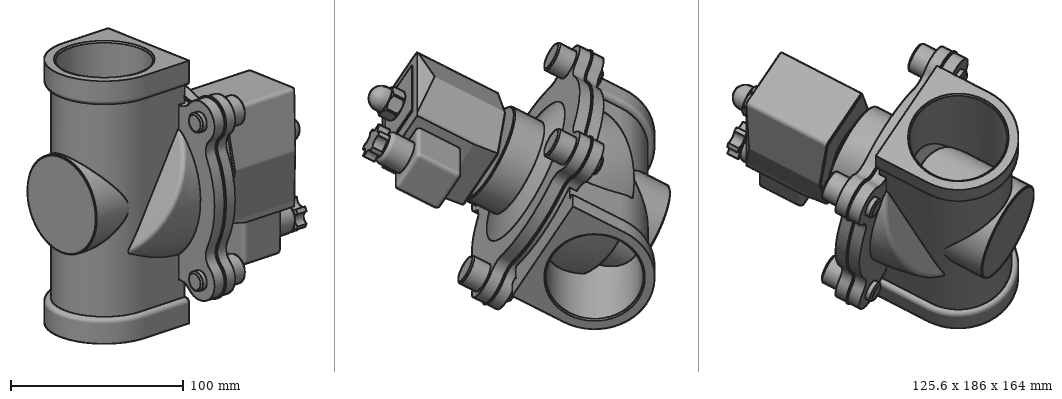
import cadquery as cq
import math


TOTAL_LENGTH = 186

BODY_LENGTH = 164.0
PIPE_RADIUS = 31.0
COLLAR_RADIUS = 35.0
COLLAR_LENGTH = 15.5
COLLAR_FILLET = 2.8
BORE_DIAMETER = 56.7
BORE_CHAMFER = 1.0

BOSS_DIAMETER = 60.0
BOSS_BACK = -33.7
BOSS_CHAMFER = 0.5

CHAMBER_RADIUS = 50.0
CHAMBER_HINGE_Y = 36.0
CHAMBER_HINGE_Z = 50.8
CHAMBER_ANGLE = 30
CHAMBER_FILLET = 2.5

FLANGE_BACK = 30.1
FLANGE_THICKNESS = 7.6
FLANGE_RADIUS = 62.1
EAR_RADIUS = 12.6
EAR_OFFSET = FLANGE_RADIUS - EAR_RADIUS
EAR_COUNT = 4
WAIST_RADIUS = 10.0
SEAL_THICKNESS = 1.0
SEAL_OVERHANG = 0.7
SEAL_BACK = FLANGE_BACK + FLANGE_THICKNESS
COVER_BACK = SEAL_BACK + SEAL_THICKNESS
COVER_TOP = COVER_BACK + FLANGE_THICKNESS

HEAD_DIAMETER = 18.0
HEAD_HEIGHT = 11.9
HEAD_CHAMFER = 1.0
SHANK_DIAMETER = 12.0
TIP_DIAMETER = 10.0
TIP_CHAMFER = (SHANK_DIAMETER - TIP_DIAMETER) / 2
TIP_PROJECTION = 4.0

CONE_RADIUS = 45.0
BONNET_DIAMETER = 60.0
BONNET_BACK = 51.3
BONNET_TOP = 71.6
BONNET_CHAMFER = 0.7
STEM_DIAMETER = 30.0

COIL_BACK = 76.3
COIL_TOP = 131.1
COIL_HALF_WIDTH = 28.5
COIL_FLAT_HALF_WIDTH = 20.0
COIL_UPPER = 35.2
COIL_LOWER = 38.7
COIL_FILLET = 3.0
COIL_CORNER_DEPTH = 6.9
COIL_EDGE_CHAMFER = 0.7
COIL_TAPER_LENGTH = 16.7
COIL_TAPER_HEIGHT = COIL_LOWER - COIL_UPPER

PLATE_WIDTH = 30.5
PLATE_HEIGHT = 51.0
PLATE_TOP = 132.0
NUT_ACROSS_FLATS = 17.0
NUT_CORNER_DIAMETER = NUT_ACROSS_FLATS / math.cos(math.pi / 6)
NUT_ROUND_DIAMETER = 19.0
NUT_CHAMFER = 1.1
NUT_TOP = 141.0
DOME_DIAMETER = 15.0
DOME_CENTER_Y = TOTAL_LENGTH - COLLAR_RADIUS - DOME_DIAMETER / 2

PLUG_WIDTH = 27.5
PLUG_BACK = 97.3
PLUG_TOP = 127.0
PLUG_BOTTOM = -69.0
PLUG_FILLET = 2.6
GLAND_Z = -53.8
GLAND_DIAMETER = 20.0
GLAND_TOP = 142.3
GLAND_FILLET = 2.8
NECK_DIAMETER = 14.9
CAP_BACK = 143.2
CAP_TOP = 150.3
CAP_DIAMETER = 20.8
FLUTE_COUNT = 6
FLUTE_DIAMETER = 8.4
FLUTE_CENTER_RADIUS = 11.3


def plane_at(y, x=0.0, z=0.0):
    """Plane across Y whose local axes are the global X and Z."""
    return cq.Workplane("XZ", origin=(x, y, z))


def cylinder(diameter, y_start, y_end, x=0.0, z=0.0):
    """Round bar along +Y."""
    return plane_at(y_start, x, z).circle(diameter / 2).extrude(y_start - y_end)


def d_block(radius, z_start, length):
    """Bar along Z, round toward -Y and flat toward +Y."""
    return (
        cq.Workplane("XY", origin=(0, 0, z_start))
        .moveTo(radius, 0)
        .lineTo(radius, COLLAR_RADIUS)
        .lineTo(-radius, COLLAR_RADIUS)
        .lineTo(-radius, 0)
        .threePointArc((0, -radius), (radius, 0))
        .close()
        .extrude(length)
    )


def polar(radius, angle):
    """Point at a distance and angle from the origin."""
    return (radius * math.cos(angle), radius * math.sin(angle))


def flange_plate(y_start, y_end, overhang=0.0):
    """Round plate with four ears, joined by tangent hollow waists."""
    disc = FLANGE_RADIUS + overhang
    ear = EAR_RADIUS + overhang
    waist = WAIST_RADIUS - overhang
    ear_distance = math.hypot(EAR_OFFSET, EAR_OFFSET)

    to_waist = disc + waist
    to_ear = ear + waist
    spread = math.acos((ear_distance**2 + to_waist**2 - to_ear**2) / (2 * ear_distance * to_waist))

    def toward(start, end, distance):
        share = distance / math.dist(start, end)
        return tuple(a + (b - a) * share for a, b in zip(start, end))

    def waist_points(center, ear_center):
        at_disc = toward(center, (0, 0), waist)
        at_ear = toward(center, ear_center, waist)
        chord_middle = tuple((a + b) / 2 for a, b in zip(at_disc, at_ear))
        return at_disc, toward(center, chord_middle, waist), at_ear

    quarter = 2 * math.pi / EAR_COUNT
    ear_angles = [quarter / 2 + quarter * i for i in range(EAR_COUNT)]
    outline = plane_at(y_start).moveTo(*polar(disc, ear_angles[0] - spread))
    for angle in ear_angles:
        ear_center = polar(ear_distance, angle)
        _, entry_middle, entry_end = waist_points(polar(to_waist, angle - spread), ear_center)
        exit_end, exit_middle, exit_start = waist_points(polar(to_waist, angle + spread), ear_center)
        outline = (
            outline.threePointArc(entry_middle, entry_end)
            .threePointArc(polar(ear_distance + ear, angle), exit_start)
            .threePointArc(exit_middle, exit_end)
            .threePointArc(polar(disc, angle + quarter / 2), polar(disc, angle + quarter - spread))
        )
    return outline.close().extrude(y_start - y_end)


SCREW_PLACES = [(x, z) for x in (-EAR_OFFSET, EAR_OFFSET) for z in (-EAR_OFFSET, EAR_OFFSET)]


def cut_screw_holes(shape):
    """Cut the four screw holes through both flanges."""
    for x, z in SCREW_PLACES:
        shape = shape.cut(cylinder(SHANK_DIAMETER, FLANGE_BACK, COVER_TOP, x, z))
    return shape



def pipe():
    half = BODY_LENGTH / 2
    shape = d_block(PIPE_RADIUS, -half, BODY_LENGTH)
    lower = d_block(COLLAR_RADIUS, -half, COLLAR_LENGTH)
    lower = lower.faces(">Z").edges("not >Y").fillet(COLLAR_FILLET)
    upper = lower.mirror("XY")
    shape = shape.union(lower).union(upper)
    bore = cq.Workplane("XY", origin=(0, 0, -half)).circle(BORE_DIAMETER / 2).extrude(BODY_LENGTH)
    shape = shape.cut(bore)
    for end in (-half, half):
        mouth = (
            cq.Workplane("XZ")
            .polyline([
                (0, end),
                (BORE_DIAMETER / 2 + BORE_CHAMFER, end),
                (BORE_DIAMETER / 2, end - math.copysign(BORE_CHAMFER, end)),
                (0, end - math.copysign(BORE_CHAMFER, end)),
            ])
            .close()
            .revolve(360, (0, 0), (0, 1))
        )
        shape = shape.cut(mouth)
    return shape


def boss():
    return cylinder(BOSS_DIAMETER, BOSS_BACK, FLANGE_BACK).faces("<Y").chamfer(BOSS_CHAMFER)


def chamber():
    """Disc swung about a line parallel to X, ending in a slanted round face."""
    return (
        plane_at(CHAMBER_HINGE_Y)
        .circle(CHAMBER_RADIUS)
        .revolve(CHAMBER_ANGLE, (1.9, CHAMBER_HINGE_Z), (-1.9, CHAMBER_HINGE_Z))
        .faces("<Y")
        .fillet(CHAMBER_FILLET)
    )


def make_valve_body():
    shape = pipe().union(boss()).union(chamber()).union(flange_plate(FLANGE_BACK, SEAL_BACK))
    return cut_screw_holes(shape)



def cover():
    cone = (
        cq.Workplane("XY")
        .moveTo(0, COVER_TOP)
        .lineTo(CONE_RADIUS, COVER_TOP)
        .lineTo(BONNET_DIAMETER / 2, BONNET_BACK)
        .lineTo(0, BONNET_BACK)
        .close()
        .revolve(360, (0, 0), (0, 1))
    )
    bonnet = cylinder(BONNET_DIAMETER, BONNET_BACK, BONNET_TOP).faces(">Y").chamfer(BONNET_CHAMFER)
    stem = cylinder(STEM_DIAMETER, BONNET_TOP, COIL_BACK)
    seal = flange_plate(SEAL_BACK, COVER_BACK, SEAL_OVERHANG)
    flange = flange_plate(COVER_BACK, COVER_TOP)
    return cut_screw_holes(seal.union(flange)).union(cone).union(bonnet).union(stem)


def coil():
    section = [
        (-COIL_FLAT_HALF_WIDTH, COIL_UPPER),
        (COIL_FLAT_HALF_WIDTH, COIL_UPPER),
        (COIL_HALF_WIDTH, 0),
        (COIL_FLAT_HALF_WIDTH, -COIL_UPPER),
        (COIL_FLAT_HALF_WIDTH, -COIL_LOWER),
        (-COIL_FLAT_HALF_WIDTH, -COIL_LOWER),
        (-COIL_FLAT_HALF_WIDTH, -COIL_UPPER),
        (-COIL_HALF_WIDTH, 0),
    ]
    shape = plane_at(COIL_BACK).polyline(section).close().extrude(COIL_BACK - COIL_TOP)
    shape = shape.edges("|Y and >Z").fillet(COIL_FILLET)
    shape = shape.edges("|Y and (<X or >X)").fillet(COIL_FILLET)
    for side in (-1, 1):
        corner = (
            cq.Workplane("XY")
            .polyline([
                (side * COIL_FLAT_HALF_WIDTH, COIL_TOP),
                (side * COIL_HALF_WIDTH, COIL_TOP),
                (side * COIL_HALF_WIDTH, COIL_TOP - COIL_CORNER_DEPTH),
            ])
            .close()
            .extrude(COIL_LOWER, both=True)
        )
        shape = shape.cut(corner)
    taper = (
        cq.Workplane("YZ")
        .polyline([
            (COIL_BACK, -COIL_LOWER),
            (COIL_BACK + COIL_TAPER_LENGTH, -COIL_LOWER),
            (COIL_BACK, -COIL_LOWER + COIL_TAPER_HEIGHT),
        ])
        .close()
        .extrude(COIL_HALF_WIDTH, both=True)
    )
    return shape.cut(taper).faces("<Y").chamfer(COIL_EDGE_CHAMFER)


def cap_nut():
    plate = plane_at(COIL_TOP).rect(PLATE_WIDTH, PLATE_HEIGHT).extrude(COIL_TOP - PLATE_TOP)
    hexagon = (
        plane_at(PLATE_TOP)
        .transformed(rotate=(0, 0, 30))
        .polygon(6, NUT_CORNER_DIAMETER)
        .extrude(PLATE_TOP - NUT_TOP)
    )
    rounding = cylinder(NUT_ROUND_DIAMETER, PLATE_TOP, NUT_TOP).faces("<Y or >Y").chamfer(NUT_CHAMFER)
    neck = cylinder(DOME_DIAMETER, NUT_TOP, DOME_CENTER_Y)
    dome = cq.Workplane("XY", origin=(0, DOME_CENTER_Y, 0)).sphere(DOME_DIAMETER / 2)
    return plate.union(hexagon.intersect(rounding)).union(neck).union(dome)


def plug():
    middle = (PLUG_BACK + PLUG_TOP) / 2
    block = (
        cq.Workplane("XY", origin=(0, middle, PLUG_BOTTOM))
        .rect(PLUG_WIDTH, PLUG_TOP - PLUG_BACK)
        .extrude(-COIL_LOWER - PLUG_BOTTOM)
        .edges("|Z or <Z")
        .fillet(PLUG_FILLET)
    )
    gland = cylinder(GLAND_DIAMETER, PLUG_TOP, GLAND_TOP, z=GLAND_Z).faces(">Y").edges().fillet(GLAND_FILLET)
    neck = cylinder(NECK_DIAMETER, GLAND_TOP, CAP_BACK, z=GLAND_Z)
    return block.union(gland).union(neck).union(gland_cap())


def gland_cap():
    """Round cap with finger flutes around its rim."""
    cap = cylinder(CAP_DIAMETER, CAP_BACK, CAP_TOP, z=GLAND_Z)
    for i in range(FLUTE_COUNT):
        x, z = polar(FLUTE_CENTER_RADIUS, 2 * math.pi * i / FLUTE_COUNT)
        cap = cap.cut(cylinder(FLUTE_DIAMETER, CAP_BACK, CAP_TOP, x, GLAND_Z + z))
    return cap


def make_operator():
    return cover().union(coil()).union(cap_nut()).union(plug())



def make_screw(x, z):
    head = cylinder(HEAD_DIAMETER, COVER_TOP, COVER_TOP + HEAD_HEIGHT, x, z).faces(">Y").chamfer(HEAD_CHAMFER)
    shank = cylinder(SHANK_DIAMETER, FLANGE_BACK - TIP_PROJECTION, COVER_TOP, x, z)
    return head.union(shank.faces("<Y").chamfer(TIP_CHAMFER))


valve_body = make_valve_body()
operator = make_operator()
screws = [make_screw(x, z).val() for x, z in SCREW_PLACES]

result = cq.Compound.makeCompound([valve_body.val(), operator.val(), *screws])